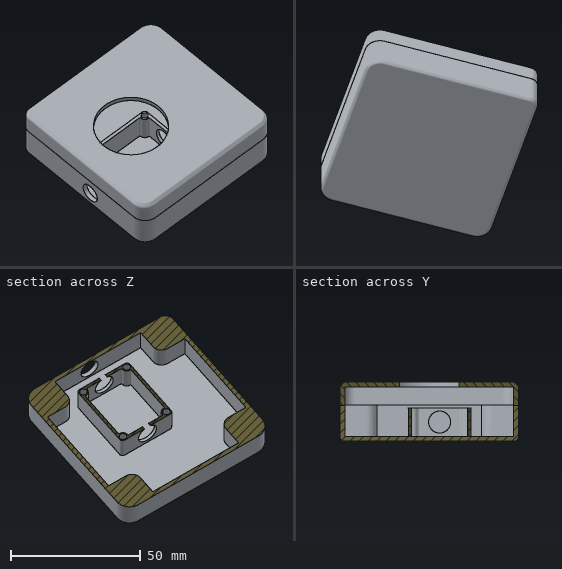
import cadquery as cq

width = 69.0
base_height = 14.0
total_height = 23.0
corner_radius = 6.0
front_left_radius = 3.75
wall = 2.0

top_chamfer = 1.5
bottom_chamfer = 1.0
edge_round = 1.0

window_diameter = 29.0
window_y = -9.0

entry_diameter = 8.0
entry_z = 7.0

block_size = 14.25
block_round = 4.0

tray_x = 4.0
tray_y = window_y
tray_inner_x = 21.6
tray_inner_y = 27.4
tray_wall = 1.4
tray_corner_radius = 1.4
tray_outer_x = tray_inner_x + 2 * tray_wall
tray_outer_y = tray_inner_y + 2 * tray_wall
rim_drop = 1.0
tray_height = base_height - rim_drop - wall
tray_hole_z = 7.5
tray_hole_diameter = 8.5
post_diameter = 4.0
post_fillet = 0.5
screw_hole_diameter = 2.68
post_inset = 0.5
post_spacing_x = tray_inner_x - 2 * post_inset
post_spacing_y = tray_inner_y - 2 * post_inset


def rounded_block(side, height, radius, front_left):
    """Square block with upright rounded corners, the front-left one tighter."""
    block = cq.Workplane("XY").box(side, side, height, centered=(True, True, False))
    block = block.edges("|Z and (>X or >Y)").fillet(radius)
    return block.edges("|Z and <X and <Y").fillet(front_left)


def case_block():
    """Outside shape of the closed case, with top and bottom edges broken."""
    block = rounded_block(width, total_height, corner_radius, front_left_radius)
    block = block.faces(">Z").chamfer(top_chamfer)
    block = block.faces("<Z").chamfer(bottom_chamfer)
    return block.edges("#Z").fillet(edge_round)


def case_cavity():
    """Hollow of the closed case, with a solid block left in every corner of the base."""
    inside = width - 2 * wall
    cavity = rounded_block(inside, total_height - 2 * wall, corner_radius - wall, front_left_radius - wall)
    cavity = cavity.translate((0, 0, wall))
    block = (
        cq.Workplane("XY")
        .box(2 * block_size, 2 * block_size, base_height - wall, centered=(True, True, False))
        .edges("|Z")
        .fillet(block_round)
    )
    for x_side in (-1, 1):
        for y_side in (-1, 1):
            cavity = cavity.cut(block.translate((x_side * width / 2, y_side * width / 2, wall)))
    return cavity


def slab(bottom, top):
    """Slice of space between two heights, wider than the case."""
    return cq.Workplane("XY").workplane(offset=bottom).rect(2 * width, 2 * width).extrude(top - bottom)


def make_base(case):
    """Lower part of the case, with the entry hole through its front wall."""
    entry = (
        cq.Workplane("XZ", origin=(tray_x, -width / 2 + wall, entry_z))
        .circle(entry_diameter / 2)
        .extrude(wall)
    )
    return case.intersect(slab(0, base_height)).cut(entry)


def make_lid(case):
    """Upper part of the case, with the round window through its top."""
    window = (
        cq.Workplane("XY", origin=(0, window_y, total_height - wall))
        .circle(window_diameter / 2)
        .extrude(wall)
    )
    return case.intersect(slab(base_height, total_height)).cut(window)


def make_tray():
    """Rectangular frame with a hollow post in every inside corner."""
    centre = cq.Workplane("XY", origin=(tray_x, tray_y, wall))
    outer = centre.rect(tray_outer_x, tray_outer_y).extrude(tray_height)
    outer = outer.edges("|Z").fillet(tray_corner_radius)
    pocket = centre.rect(tray_inner_x, tray_inner_y).extrude(tray_height)
    posts = centre.rect(post_spacing_x, post_spacing_y, forConstruction=True).vertices()
    pocket = pocket.cut(posts.circle(post_diameter / 2).extrude(tray_height))
    pocket = pocket.edges("|Z").fillet(post_fillet)
    screw_holes = posts.circle(screw_hole_diameter / 2).extrude(tray_height)
    side_holes = (
        cq.Workplane("XZ", origin=(tray_x, tray_y, tray_hole_z))
        .circle(tray_hole_diameter / 2)
        .extrude(tray_outer_y, both=True)
    )
    return outer.cut(pocket).cut(screw_holes).cut(side_holes)


case = case_block().cut(case_cavity())
base = make_base(case)
lid = make_lid(case)
tray = make_tray()
result = cq.Compound.makeCompound([base.val(), lid.val(), tray.val()])